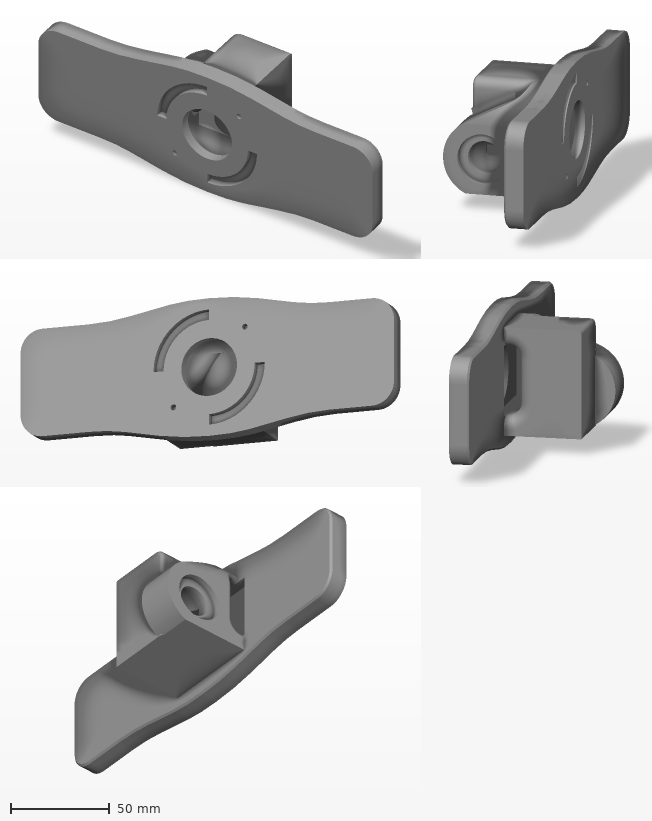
import cadquery as cq
import math

plate_left = -102.0
plate_length = 202
plate_thick = 10.3
plate_half_height = 28.0
corner_radius = 12.0
bulge_half_length = 65.0
bulge_half_height = 36.0
bulge_foot = (46.5, 29.7)
bulge_shoulder = (20.6, 34.5)
rear_edge_chamfer = 1.0

bore_dia = 30.0
slot_inner_radius = 24.6
slot_outer_radius = 30.0
slot_depth = 4
pin_dia = 3.0
pin_depth = 4
pin_circle_radius = (slot_inner_radius + slot_outer_radius) / 2

embed = plate_thick / 2

block_side = -17.2
block_right = 18.4
block_back = 50.5
block_half_height = plate_half_height
block_edge_radius = 5.7
block_back_radius = 2

lug_left = -34.1
lug_right = -13.7
lug_back = 61.0
lug_shoulder_radius = 19.8
hole_y = 40.5
hole_z = -9.5
lug_radius = lug_back - hole_y
slope = math.radians(26.3)
ramp_y = hole_y + lug_radius * math.sin(slope)
ramp_z = hole_z + lug_radius * math.cos(slope)
ramp_plane_end = 26.9
ramp_top_y = 18.5
ramp_root_radius = 3.2

window_half_height = 18.2
window_front = 5.3
window_back = 18.2
window_corner_radius = 6.5
window_rim_radius = 2.6
rim_reach = 5.0
window_exit_radius = 6.7

counterbore_dia = 26.0
counterbore_depth = 4
seat_dia = 17.0
seat_center_x = -26.0
bend_radius = 20.2
bend_x = 3.5
bend_y = window_back + bend_radius
channel_width = 8.5
channel_bottom = window_corner_radius - window_half_height
channel_slit_top = -7.3
channel_slit_end_y = 42.8
slit_end_radius = 1.8
flare_top = -channel_bottom
flare_end_x = -0.6
flare_lip_radius = 5.0
flare_start_x = flare_end_x - (flare_top - channel_slit_top)

margin = 0.2


def along_y(x, y, z):
    """Sketch plane whose local axes are X and Z; a negative extrusion goes toward +Y."""
    return cq.Workplane(cq.Plane((x, y, z), xDir=(1, 0, 0), normal=(0, -1, 0)))


def along_x(x):
    """Sketch plane whose local axes are Y and Z, extruding toward +X."""
    return cq.Workplane("YZ", origin=(x, 0, 0))


def plate():
    right = plate_left + plate_length
    foot_x, foot_z = bulge_foot
    shoulder_x, shoulder_z = bulge_shoulder
    upper_bulge = [
        (-bulge_half_length, plate_half_height),
        (-foot_x, foot_z),
        (-shoulder_x, shoulder_z),
        (0, bulge_half_height),
        (shoulder_x, shoulder_z),
        (foot_x, foot_z),
        (bulge_half_length, plate_half_height),
    ]
    lower_bulge = [(-x, -z) for x, z in upper_bulge]
    body = (
        along_y(0, 0, 0)
        .moveTo(plate_left, plate_half_height)
        .lineTo(*upper_bulge[0])
        .spline(upper_bulge[1:4], tangents=[(1, 0), (1, 0)], includeCurrent=True)
        .spline(upper_bulge[4:], tangents=[(1, 0), (1, 0)], includeCurrent=True)
        .lineTo(right, plate_half_height)
        .lineTo(right, -plate_half_height)
        .lineTo(*lower_bulge[0])
        .spline(lower_bulge[1:4], tangents=[(-1, 0), (-1, 0)], includeCurrent=True)
        .spline(lower_bulge[4:], tangents=[(-1, 0), (-1, 0)], includeCurrent=True)
        .lineTo(plate_left, -plate_half_height)
        .close()
        .extrude(-plate_thick)
    )
    body = body.edges("|Y and (<X or >X)").fillet(corner_radius)
    return body.faces(">Y").edges().chamfer(rear_edge_chamfer)


def block():
    body = cq.Workplane("XY").box(
        block_right - block_side,
        block_back - embed,
        2 * block_half_height,
        centered=False,
    ).translate((block_side, embed, -block_half_height))
    body = body.edges("|Y and <X and >Z").fillet(block_edge_radius)
    return body.edges(">Y and (>Z or <X)").edges("not <Z").fillet(block_back_radius)


def lug():
    ramp_plane_z = ramp_z + (ramp_y - ramp_plane_end) * math.tan(slope)
    bottom_y = hole_y + math.sqrt(lug_radius**2 - (block_half_height + hole_z) ** 2)
    side = (
        along_x(lug_left)
        .moveTo(embed, -block_half_height)
        .lineTo(bottom_y, -block_half_height)
        .threePointArc((lug_back, hole_z), (ramp_y, ramp_z))
        .lineTo(ramp_plane_end, ramp_plane_z)
        .tangentArcPoint((ramp_top_y, block_half_height), relative=False)
        .lineTo(embed, block_half_height)
        .close()
        .extrude(lug_right - lug_left)
    )
    rounded = (
        along_y(0, 0, 0)
        .moveTo(lug_left, -block_half_height)
        .lineTo(lug_right, -block_half_height)
        .lineTo(lug_right, block_half_height)
        .lineTo(lug_left + lug_shoulder_radius, block_half_height)
        .radiusArc((lug_left, block_half_height - lug_shoulder_radius), -lug_shoulder_radius)
        .close()
        .extrude(-lug_back)
    )
    return side.intersect(rounded)


def window():
    """Opening through X between lug and plate, sunk into the back of the plate."""
    return (
        along_x(lug_left)
        .moveTo(window_front, -window_half_height)
        .lineTo(window_back - window_corner_radius, -window_half_height)
        .radiusArc((window_back, window_corner_radius - window_half_height), -window_corner_radius)
        .lineTo(window_back, window_half_height - window_corner_radius)
        .radiusArc((window_back - window_corner_radius, window_half_height), -window_corner_radius)
        .lineTo(window_front, window_half_height)
        .close()
        .extrude(block_right - lug_left)
    )


def ramp_root():
    """Concave fillet where the ramp meets the side of the block."""
    length = (ramp_y - ramp_plane_end) / math.cos(slope)
    up_ramp = cq.Plane(
        (block_side, ramp_y, ramp_z),
        xDir=(-1, 0, 0),
        normal=(0, math.cos(slope), -math.sin(slope)),
    )
    r = ramp_root_radius
    middle = r * (1 - 1 / math.sqrt(2))
    return (
        cq.Workplane(up_ramp)
        .moveTo(-r, -r)
        .lineTo(r, -r)
        .lineTo(r, 0)
        .threePointArc((middle, middle), (0, r))
        .lineTo(-r, r)
        .close()
        .extrude(-length)
    )


def window_edges(x_start, x_end):
    """Selector for the window edges between two X positions, clear of the plate."""
    return cq.selectors.BoxSelector(
        (x_start - margin, plate_thick + margin, -window_half_height - margin),
        (x_end + margin, window_back + margin, window_half_height + margin),
    )


def rear_part():
    body = lug().union(block()).union(ramp_root()).cut(window())
    body = body.edges(window_edges(lug_left, lug_left + rim_reach)).fillet(window_rim_radius)
    return body.edges(window_edges(block_right, block_right)).fillet(window_exit_radius)


def channel():
    """Cord channel that bends from the seat round into the bore."""
    inner = bend_radius
    outer = bend_radius + channel_width
    height = flare_top - channel_bottom
    bend = (
        cq.Workplane("XY", origin=(bend_x, bend_y, channel_bottom))
        .moveTo(-inner, channel_slit_end_y - bend_y)
        .lineTo(-inner, 0)
        .radiusArc((0, -inner), -inner)
        .lineTo(0, -outer)
        .radiusArc((-outer, 0), outer)
        .lineTo(-outer, channel_slit_end_y - bend_y)
        .close()
        .extrude(height)
    )
    flare = (
        along_y(0, 0, 0)
        .moveTo(bend_x - outer, channel_bottom)
        .lineTo(bend_x, channel_bottom)
        .lineTo(bend_x, flare_top)
        .lineTo(flare_end_x, flare_top)
        .lineTo(flare_start_x, channel_slit_top)
        .lineTo(bend_x - outer, channel_slit_top)
        .close()
        .extrude(-block_back)
    )
    return bend.intersect(flare).edges("|X and >Y").fillet(slit_end_radius)


def flare_lip():
    """Rounding of the edge where the 45 degree flare opens into the window."""
    along_flare = cq.Plane(
        (flare_start_x, window_back, channel_slit_top),
        xDir=(-1, 0, 1),
        normal=(-1, 0, -1),
    )
    r = flare_lip_radius
    middle = r * (1 - 1 / math.sqrt(2))
    length = math.sqrt(2) * (flare_end_x - flare_start_x)
    return (
        cq.Workplane(along_flare)
        .lineTo(r, 0)
        .threePointArc((middle, middle), (0, r))
        .close()
        .extrude(-length)
    )


def seat():
    """Round-bottomed hole in the lug with a counterbore at its mouth."""
    counterbore = (
        along_x(lug_left).center(hole_y, hole_z).circle(counterbore_dia / 2).extrude(counterbore_depth)
    )
    hole = along_x(lug_left).center(hole_y, hole_z).circle(seat_dia / 2).extrude(seat_center_x - lug_left)
    bottom = cq.Workplane("XY").sphere(seat_dia / 2).translate((seat_center_x, hole_y, hole_z))
    return counterbore.union(hole).union(bottom)


def front_cuts():
    """Bore through the plate, two quarter-turn slots and two pin holes."""
    cuts = along_y(0, 0, 0).circle(bore_dia / 2).extrude(-plate_thick)
    ring = along_y(0, 0, 0).circle(slot_outer_radius).circle(slot_inner_radius).extrude(-slot_depth)
    for side in (-1, 1):
        quadrant = (
            along_y(0, 0, 0)
            .center(side * slot_outer_radius / 2, -side * slot_outer_radius / 2)
            .rect(slot_outer_radius, slot_outer_radius)
            .extrude(-slot_depth)
        )
        cuts = cuts.union(ring.intersect(quadrant))
    offset = pin_circle_radius / math.sqrt(2)
    pins = (
        along_y(0, 0, 0)
        .pushPoints([(offset, offset), (-offset, -offset)])
        .circle(pin_dia / 2)
        .extrude(-pin_depth)
    )
    return cuts.union(pins)


result = plate().union(rear_part())
for cutter in (window(), front_cuts(), seat(), channel(), flare_lip()):
    result = result.cut(cutter)
result = cq.Workplane(result.solids().val())